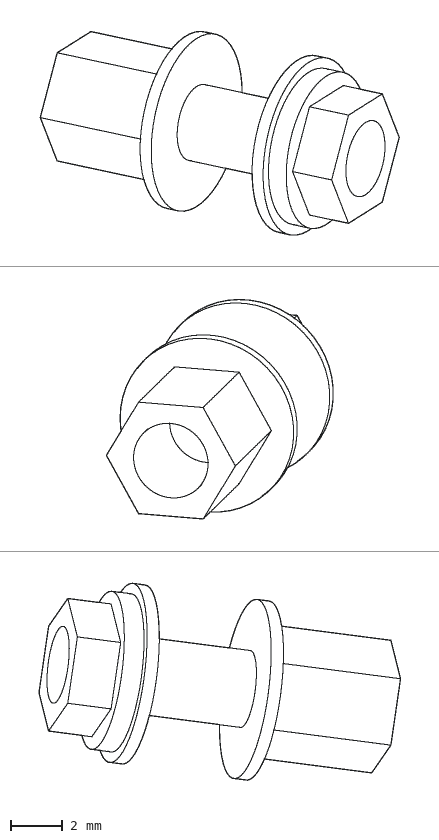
import cadquery as cq
import math

total_length = 13.05
shaft_diameter = 3.0
hex_across_flats = 4.5
washer_diameter = 7.0
washer_thickness = 0.5
lock_washer_diameter = 6.17
lock_washer_thickness = 0.8
sleeve_length = 5.0
nut_thickness = 1.75

sleeve_start = -total_length / 2
sleeve_end = sleeve_start + sleeve_length
nut_end = total_length / 2
nut_start = nut_end - nut_thickness
lock_washer_start = nut_start - lock_washer_thickness
washer_starts = [sleeve_end, lock_washer_start - washer_thickness]


def at_station(x):
    """Sketch plane across the axis; local x is Y and local y is Z."""
    return cq.Workplane("YZ", origin=(x, 0, 0))


def make_ring(start, diameter, thickness):
    """Flat round ring that fits closely on the shaft."""
    return at_station(start).circle(diameter / 2).circle(shaft_diameter / 2).extrude(thickness)


def make_bored_hexagon(start, length):
    """Hexagonal prism with flats facing +Z and -Z and a through bore for the shaft."""
    across_corners = hex_across_flats / math.cos(math.pi / 6)
    return at_station(start).polygon(6, across_corners).circle(shaft_diameter / 2).extrude(length)


def make_shaft(start, end):
    """Plain round shaft."""
    return at_station(start).circle(shaft_diameter / 2).extrude(end - start)


sleeve = make_bored_hexagon(sleeve_start, sleeve_length)
washers = [make_ring(start, washer_diameter, washer_thickness) for start in washer_starts]
lock_washer = make_ring(lock_washer_start, lock_washer_diameter, lock_washer_thickness)
nut = make_bored_hexagon(nut_start, nut_thickness)
shaft = make_shaft(sleeve_end, nut_end)

result = cq.Compound.makeCompound([
    sleeve.val(),
    *[washer.val() for washer in washers],
    lock_washer.val(),
    nut.val(),
    shaft.val(),
])